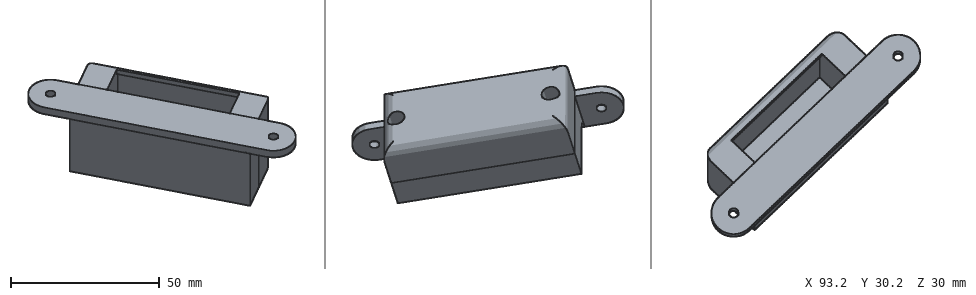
import cadquery as cq

PLATE_LENGTH = 93.2
PLATE_WIDTH = 15.0
PLATE_THICKNESS = 3.0
PLATE_HOLE_DIAMETER = 3.3
PLATE_HOLE_SPACING = PLATE_LENGTH - PLATE_WIDTH

BODY_WIDTH = 63.3
BODY_HEIGHT = 30.0
BLOCK_DEPTH = 10.0
COVER_DEPTH = 15.2
COVER_ROUNDING = 4.9
FILLET_HEIGHT = 5.4

POCKET_WIDTH = 43.1
COVER_WALL = 4.0
POCKET_DEPTH = COVER_DEPTH - COVER_WALL
LIP_HEIGHT = 2.0
LIP_OVERHANG = 1.0
FLOOR_THICKNESS = LIP_HEIGHT

SCREW_HOLE_DIAMETER = 6.0
SCREW_SPACING = (BODY_WIDTH + POCKET_WIDTH) / 2


def make_bracket():
    """Plate and block in one piece, joined by a concave fillet under the front overhang."""
    plate_bottom = BODY_HEIGHT - PLATE_THICKNESS
    plate = (
        cq.Workplane("XY", origin=(0, -PLATE_WIDTH / 2, plate_bottom))
        .slot2D(PLATE_LENGTH, PLATE_WIDTH)
        .extrude(PLATE_THICKNESS)
    )
    block = (
        cq.Workplane("YZ", origin=(-BODY_WIDTH / 2, 0, 0))
        .moveTo(0, 0)
        .lineTo(-BLOCK_DEPTH, 0)
        .lineTo(-BLOCK_DEPTH, plate_bottom - FILLET_HEIGHT)
        .tangentArcPoint((-PLATE_WIDTH, plate_bottom), relative=False)
        .lineTo(0, plate_bottom)
        .close()
        .extrude(BODY_WIDTH)
    )
    plate_holes = (
        cq.Workplane("XY", origin=(0, -PLATE_WIDTH / 2, plate_bottom))
        .rarray(PLATE_HOLE_SPACING, 0.9, 2, 1)
        .circle(PLATE_HOLE_DIAMETER / 2)
        .extrude(PLATE_THICKNESS)
    )
    return plate.union(block).cut(plate_holes)


def make_cover():
    """Cover with a rounded back, an undercut pocket and two screw holes."""
    cover = (
        cq.Workplane("XY")
        .box(BODY_WIDTH, COVER_DEPTH, BODY_HEIGHT, centered=(True, False, False))
        .faces(">Y")
        .edges()
        .fillet(COVER_ROUNDING)
    )
    mouth = cq.Workplane("XY", origin=(0, 0, FLOOR_THICKNESS)).box(
        POCKET_WIDTH, POCKET_DEPTH, BODY_HEIGHT - FLOOR_THICKNESS, centered=(True, False, False)
    )
    undercut = cq.Workplane("XY", origin=(0, 0, FLOOR_THICKNESS)).box(
        POCKET_WIDTH,
        POCKET_DEPTH + LIP_OVERHANG,
        BODY_HEIGHT - FLOOR_THICKNESS - LIP_HEIGHT,
        centered=(True, False, False),
    )
    pocket = mouth.union(undercut)
    screw_holes = (
        cq.Workplane("XZ", origin=(0, COVER_DEPTH, BODY_HEIGHT / 2))
        .rarray(SCREW_SPACING, 0.9, 2, 1)
        .circle(SCREW_HOLE_DIAMETER / 2)
        .extrude(COVER_DEPTH)
    )
    return cover.cut(pocket).cut(screw_holes)


bracket = make_bracket()
cover = make_cover()
result = cq.Compound.makeCompound([bracket.val(), cover.val()])